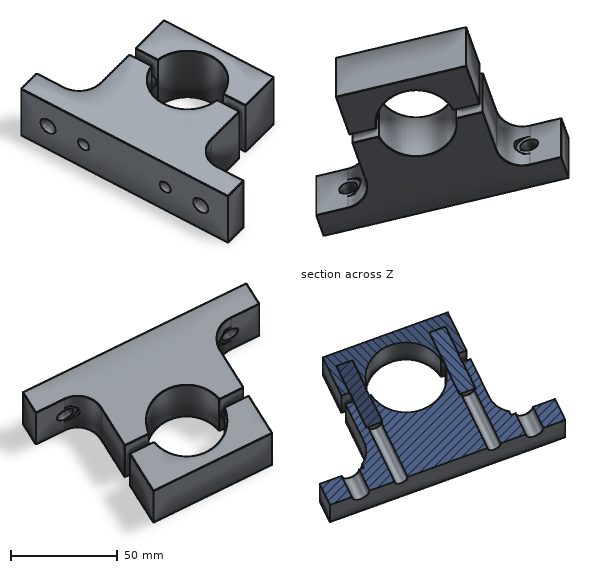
import cadquery as cq

length = 120.6
height = 76.3
depth = 31.7
mid_z = depth / 2

foot_thickness = 12.8
column_width = 64.2
corner_radius = 12.7
edge_chamfer = 0.2

bore_diameter = 38.1
bore_y = 50.8
gap = 4.8
base_top_y = bore_y - gap / 2
cap_bottom_y = bore_y + gap / 2

mount_spacing = 88.9
mount_diameter = 8.8
mount_seat_diameter = 13.5

screw_spacing = 47.5
screw_diameter = 8.0
screw_engagement = 15.9
tap_diameter = 6.5


def cylinder_along_y(x, diameter, y_start, y_end):
    """Cylinder parallel to Y, centred across the depth of the part."""
    return cq.Workplane(
        cq.Solid.makeCylinder(
            diameter / 2, y_end - y_start, cq.Vector(x, y_start, mid_z), cq.Vector(0, 1, 0)
        )
    )


def make_screw(x):
    """Plain screw shank bridging the gap between base and cap."""
    return cylinder_along_y(x, screw_diameter, base_top_y - screw_engagement, cap_bottom_y + screw_engagement)


def make_bore():
    """Shaft hole shared by base and cap."""
    return cq.Workplane().center(0, bore_y).circle(bore_diameter / 2).extrude(depth)


def chamfer_end_faces(body):
    """Break every edge around the two faces across the depth."""
    return body.faces("<Z or >Z").edges().chamfer(edge_chamfer)


def make_base():
    """Foot and column with the lower part of the bore, mounting holes and screw holes."""
    foot = cq.Workplane().rect(length, foot_thickness).extrude(depth).translate((0, foot_thickness / 2, 0))
    column = cq.Workplane().rect(column_width, base_top_y).extrude(depth).translate((0, base_top_y / 2, 0))
    base = foot.union(column).cut(make_bore())

    corner_x = column_width / 2
    inner_corners = cq.selectors.BoxSelector(
        (-corner_x - edge_chamfer, foot_thickness - edge_chamfer, 0),
        (corner_x + edge_chamfer, foot_thickness + edge_chamfer, depth),
    )
    base = base.edges("|Z").edges(cq.selectors.InverseSelector(inner_corners)).chamfer(edge_chamfer)
    base = base.edges("|Z").edges(inner_corners).fillet(corner_radius)
    base = chamfer_end_faces(base)

    for side in (-1, 1):
        mount_x = side * mount_spacing / 2
        base = base.cut(cylinder_along_y(mount_x, mount_diameter, 0, foot_thickness))
        base = base.cut(cylinder_along_y(mount_x, mount_seat_diameter, foot_thickness, base_top_y))
        screw_x = side * screw_spacing / 2
        base = base.cut(cylinder_along_y(screw_x, tap_diameter, 0, base_top_y))
        base = base.cut(make_screw(screw_x))
    return base


def make_cap():
    """Clamp cap with the upper part of the bore and blind screw holes."""
    cap_height = height - cap_bottom_y
    cap = cq.Workplane().rect(column_width, cap_height).extrude(depth)
    cap = cap.translate((0, cap_bottom_y + cap_height / 2, 0))
    cap = cap.cut(make_bore())
    cap = cap.edges("|Z").chamfer(edge_chamfer)
    cap = chamfer_end_faces(cap)
    for side in (-1, 1):
        cap = cap.cut(make_screw(side * screw_spacing / 2))
    return cap


base = make_base()
cap = make_cap()
screws = [make_screw(side * screw_spacing / 2) for side in (-1, 1)]

result = cq.Compound.makeCompound([base.val(), cap.val(), *[screw.val() for screw in screws]])